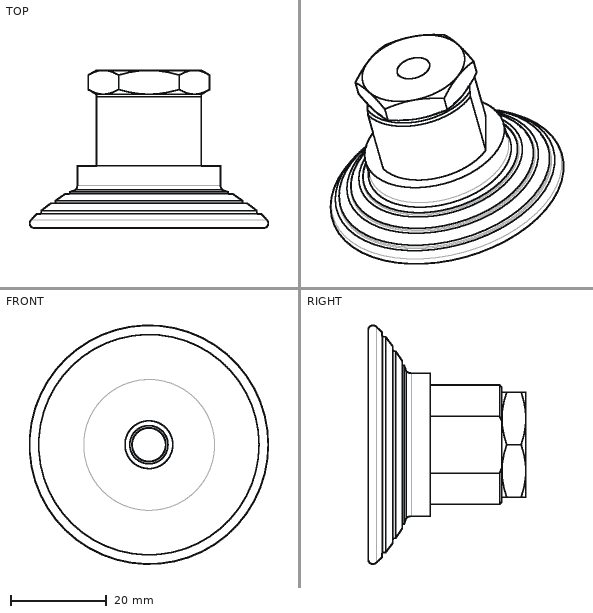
import cadquery as cq
import math


total_length = 33
nut_thickness = 5
nut_front = total_length - nut_thickness
collar_front = 9
collar_back = 13

across_flats = 22
nut_chamfer_angle = math.radians(30)
body_diameter = 25
body_chamfer = 0.5
collar_radius = 15

neck_radius = 15.35
neck_front = 8
flare_radius = 1.6
step_radii = [16.6, 19.6, 22.6]
step_cone_ends = [7.55, 5.75, 3.65]
step_fronts = [7.15, 5.2, 2.95]
ledge_radii = [17.55, 20.55, 23.55]
step_fillet = 0.2

cup_radius = 25
lip_round = 1
lip_center_radius = cup_radius - lip_round
dish_rim_radius = 23.05
dish_floor_radius = 13.7
dish_depth = 5

bore_diameter = 7
counterbore_diameter = 10
counterbore_depth = 3
bore_chamfer = 0.5


def cylinder(diameter, start, end):
    """Solid cylinder on the Y axis from y = start to y = end."""
    plane = cq.Workplane("XZ", origin=(0, start, 0))
    return plane.circle(diameter / 2).extrude(start - end)


def make_cup():
    """Revolve the cup and collar, with radius along X."""
    diagonal = lip_round * math.sqrt(0.5)
    lip_back = (lip_center_radius + diagonal, lip_round + diagonal)
    lip_middle = (lip_center_radius + diagonal, lip_round - diagonal)
    rim_drop = math.sqrt(lip_round**2 - (lip_center_radius - dish_rim_radius) ** 2)
    dish_rim = (dish_rim_radius, lip_round - rim_drop)

    profile = (
        cq.Workplane("XY")
        .moveTo(0, dish_depth)
        .lineTo(0, collar_back)
        .lineTo(collar_radius, collar_back)
        .lineTo(collar_radius, collar_front)
        .radiusArc((neck_radius, neck_front), -flare_radius)
    )
    for radius, cone_end, front, ledge in zip(step_radii, step_cone_ends, step_fronts, ledge_radii):
        profile = (
            profile.lineTo(radius, cone_end)
            .lineTo(radius, front + step_fillet)
            .radiusArc((radius + step_fillet, front), -step_fillet)
            .lineTo(ledge, front)
        )
    profile = (
        profile.lineTo(*lip_back)
        .threePointArc(lip_middle, dish_rim)
        .radiusArc((dish_floor_radius, dish_depth), dish_curve_radius(dish_rim))
        .close()
    )
    return profile.revolve(360, (0, 0, 0), (0, 1, 0))


def dish_curve_radius(rim):
    """Radius of the arc that passes through the rim and is tangent to the dish floor."""
    width = rim[0] - dish_floor_radius
    height = dish_depth - rim[1]
    return -(width**2 + height**2) / (2 * height)


def make_body():
    """Round body with two flats facing -X and +X and a chamfered back edge."""
    body = cylinder(body_diameter, collar_back, nut_front).faces(">Y").chamfer(body_chamfer)
    length = nut_front - collar_back
    middle = (collar_back + nut_front) / 2
    flats = cq.Workplane("XY").box(across_flats, length, body_diameter).translate((0, middle, 0))
    return body.intersect(flats)


def make_nut():
    """Hexagon with corners on the X axis, its corners turned off at both ends."""
    corner_radius = across_flats / math.sqrt(3)
    flat_radius = across_flats / 2
    chamfer_length = (corner_radius - flat_radius) * math.tan(nut_chamfer_angle)
    hexagon = (
        cq.Workplane("XZ", origin=(0, nut_front, 0))
        .polygon(6, 2 * corner_radius)
        .extrude(-nut_thickness)
    )
    turned_blank = (
        cq.Workplane("XY")
        .moveTo(0, nut_front)
        .lineTo(flat_radius, nut_front)
        .lineTo(corner_radius, nut_front + chamfer_length)
        .lineTo(corner_radius, total_length - chamfer_length)
        .lineTo(flat_radius, total_length)
        .lineTo(0, total_length)
        .close()
        .revolve(360, (0, 0, 0), (0, 1, 0))
    )
    return hexagon.intersect(turned_blank)


def make_bore():
    """Through bore with a counterbore at the dish floor and a chamfer below it."""
    counterbore_floor = dish_depth + counterbore_depth
    bore_radius = bore_diameter / 2
    return (
        cq.Workplane("XY")
        .lineTo(counterbore_diameter / 2, 0)
        .lineTo(counterbore_diameter / 2, counterbore_floor)
        .lineTo(bore_radius + bore_chamfer, counterbore_floor)
        .lineTo(bore_radius, counterbore_floor + bore_chamfer)
        .lineTo(bore_radius, total_length)
        .lineTo(0, total_length)
        .close()
        .revolve(360, (0, 0, 0), (0, 1, 0))
    )


result = make_cup().union(make_body()).union(make_nut()).cut(make_bore())